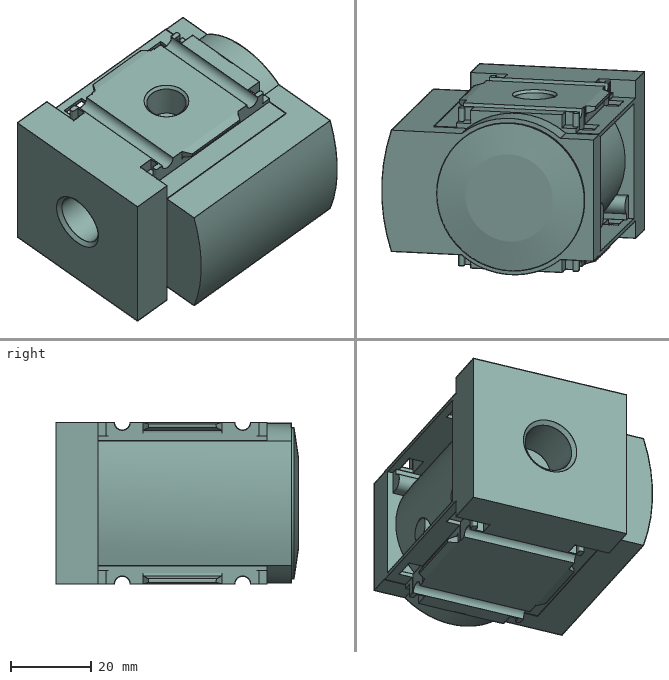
import cadquery as cq


width = 42.05
height = 40.2
front_block_end = 10.45
body_end = 52.55
back_plate_end = 58.6
body_height = 31.3
plate_height = 30.9
back_boss_radius = 19.95
middle_y = (front_block_end + body_end) / 2
body_length = body_end - front_block_end

platform_width = 30.45
groove_radius = 1.95
groove_offset = 15.0
corner_notch_width = 3.55
corner_notch_length = 3.75
corner_notch_depth = 3.4
tongue_width = 1.3
tongue_length = 1.75
tongue_fillet = 0.5

tab_reach = 2.1
tab_root_length = 19.7
tab_tip_length = 16.8
tab_lip_inset = 0.1
tab_root_bulge = 0.2
tab_tip_drop = 0.4
tab_face_drop = 0.9
tab_lip_drop = 1.3
tab_bulge_drop = 2.0
tab_root_drop = 2.65

window_length = 38.1
window_height = 29.25
window_depth = 15.0
cylinder_diameter = 37.6
pin_diameter = 6.1
pin_face_x = -18.25
pin_y = 37.45
pin_z = -8.5
lug_radius = 2.2
lug_offset_y = 17.4
lug_offset_z = 10.95
lug_edge_offset = 17.15
lug_face_x = -19.6

slot_length = 6.05
slot_offset = 14.0
slot_inner_x = -15.0
slot_outer_x = -18.85

dome_diameter = 37.6
dome_flat_diameter = 22.2
dome_rim_height = 0.65
dome_height = 1.8

cover_end_x = 33.0
cover_crown = 2.5

front_port = (14.6, 12.7, 11.9, 0.95, 12.7)
top_port = (11.1, 9.8, 9.25, 0.65, 8.9)

signs = (-1, 1)


def box(x_range, y_range, z_range):
    """Box between the given pairs of limits."""
    (x0, x1), (y0, y1), (z0, z1) = x_range, y_range, z_range
    return cq.Workplane("XY").box(x1 - x0, y1 - y0, z1 - z0, centered=False).translate((x0, y0, z0))


def centred(size):
    """Limits of a size centred on zero."""
    return (-size / 2, size / 2)


def cylinder_along_y(diameter, y_start, y_end):
    """Cylinder on the axis X = Z = 0."""
    return cq.Workplane("XZ", origin=(0, y_start, 0)).circle(diameter / 2).extrude(y_start - y_end)


def mirror_to_all_corners(shape):
    """Shape in the +X, +Y, +Z corner of the platforms, repeated in all eight corners."""
    centre = (0, middle_y, 0)
    shape = shape.union(shape.mirror("YZ", centre))
    shape = shape.union(shape.mirror("XZ", centre))
    return shape.union(shape.mirror("XY", centre))


def make_housing():
    front_block = box(centred(width), (0, front_block_end), centred(height))
    body = box(centred(width), (front_block_end, body_end), centred(body_height))
    platforms = box(centred(platform_width), (front_block_end, body_end), centred(height))
    back_plate = box(centred(width), (body_end, back_plate_end), centred(plate_height))
    back_boss = cylinder_along_y(2 * back_boss_radius, body_end, back_plate_end)
    return front_block.union(body).union(platforms).union(back_plate).union(back_boss)


def make_dome():
    profile = [
        (0, back_plate_end),
        (dome_diameter / 2, back_plate_end),
        (dome_diameter / 2, back_plate_end + dome_rim_height),
        (dome_flat_diameter / 2, back_plate_end + dome_height),
        (0, back_plate_end + dome_height),
    ]
    return cq.Workplane("XY").polyline(profile).close().revolve(360, (0, 0, 0), (0, 1, 0))


def make_cover():
    shoulder_x = cover_end_x - cover_crown
    half_height = plate_height / 2
    profile = (
        cq.Workplane("XZ", origin=(0, front_block_end, 0))
        .moveTo(width / 2, -half_height)
        .lineTo(shoulder_x, -half_height)
        .threePointArc((cover_end_x, 0), (shoulder_x, half_height))
        .lineTo(width / 2, half_height)
        .close()
    )
    return profile.extrude(front_block_end - back_plate_end)


def make_tabs():
    """Undercut side tabs, narrowing outwards, on both sides of both platforms."""
    root_x = platform_width / 2
    tip_x = root_x + tab_reach
    top = height / 2
    section = [
        (0, top),
        (root_x, top),
        (tip_x, top - tab_tip_drop),
        (tip_x, top - tab_face_drop),
        (tip_x - tab_lip_inset, top - tab_lip_drop),
        (root_x + tab_root_bulge, top - tab_bulge_drop),
        (root_x, top - tab_root_drop),
        (0, top - tab_root_drop),
    ]
    plan = [
        (0, middle_y - tab_root_length / 2),
        (root_x, middle_y - tab_root_length / 2),
        (tip_x, middle_y - tab_tip_length / 2),
        (tip_x, middle_y + tab_tip_length / 2),
        (root_x, middle_y + tab_root_length / 2),
        (0, middle_y + tab_root_length / 2),
    ]
    bar = cq.Workplane("XZ", origin=(0, front_block_end, 0)).polyline(section).close().extrude(-body_length)
    outline = cq.Workplane("XY").polyline(plan).close().extrude(height)
    return mirror_to_all_corners(bar.intersect(outline))


def make_corner_notches():
    """Notches in the platform corners, each leaving a small rounded tongue standing."""
    edge_x = platform_width / 2
    z_range = (height / 2 - corner_notch_depth, height / 2)
    inner_y = body_end - corner_notch_length
    notch = box((edge_x - corner_notch_width, edge_x), (inner_y, body_end), z_range)
    tongue = box((edge_x - tongue_width, edge_x), (inner_y, inner_y + tongue_length), z_range)
    tongue = tongue.edges("|Z and >Y").fillet(tongue_fillet)
    return mirror_to_all_corners(notch.cut(tongue))


def make_grooves():
    """Half-round grooves across both platforms."""
    centres = [(middle_y + i * groove_offset, j * height / 2) for i in signs for j in signs]
    plane = cq.Workplane("YZ", origin=(-platform_width / 2, 0, 0))
    return plane.pushPoints(centres).circle(groove_radius).extrude(platform_width)


def make_window():
    """Pocket in the -X side, clear of the cylinder and the pins that stand in it."""
    outer_x = -width / 2
    y_range = (middle_y - window_length / 2, middle_y + window_length / 2)
    pocket = box((outer_x, outer_x + window_depth), y_range, centred(window_height))
    pocket = pocket.cut(cylinder_along_y(cylinder_diameter, *y_range))
    pin = cq.Workplane("YZ", origin=(pin_face_x, pin_y, pin_z)).circle(pin_diameter / 2).extrude(window_depth)
    lug = make_corner_lug()
    opposite_lug = lug.rotate((0, middle_y, 0), (1, middle_y, 0), 180)
    return pocket.cut(pin).cut(lug).cut(opposite_lug)


def make_corner_lug():
    """Round-nosed lug filling the upper rear corner of the window."""
    x_range = (lug_face_x, lug_face_x + window_depth)
    centre_y = middle_y + lug_offset_y
    end_y = middle_y + window_length / 2
    nose = cq.Workplane("YZ", origin=(lug_face_x, centre_y, lug_offset_z)).circle(lug_radius).extrude(window_depth)
    foot = box(x_range, (centre_y, end_y), (lug_offset_z - lug_radius, lug_offset_z))
    riser = box(x_range, (middle_y + lug_edge_offset, end_y), (lug_offset_z, window_height / 2))
    return nose.union(foot).union(riser)


def make_shelf_slots():
    slots = cq.Workplane("XY")
    for y_side in signs:
        slot_y = middle_y + y_side * slot_offset
        y_range = (slot_y - slot_length / 2, slot_y + slot_length / 2)
        x_range = (slot_outer_x, slot_inner_x)
        slots = slots.union(box(x_range, y_range, (window_height / 2, height / 2)))
        slots = slots.union(box(x_range, y_range, (-height / 2, -window_height / 2)))
    return slots


def make_port(sizes):
    """Tapered blind bore with a chamfered mouth at Z = 0, going down."""
    mouth_diameter, bore_diameter, end_diameter, chamfer_depth, depth = sizes
    profile = [
        (0, 0),
        (mouth_diameter / 2, 0),
        (bore_diameter / 2, -chamfer_depth),
        (end_diameter / 2, -depth),
        (0, -depth),
    ]
    return cq.Workplane("XZ").polyline(profile).close().revolve(360, (0, 0, 0), (0, 1, 0))


result = make_housing().union(make_cover()).union(make_dome()).union(make_tabs())
result = result.cut(make_window())
result = result.cut(make_shelf_slots())
result = result.cut(make_corner_notches())
result = result.cut(make_grooves())
result = result.cut(make_port(front_port).rotate((0, 0, 0), (1, 0, 0), 90))
result = result.cut(make_port(top_port).translate((0, middle_y, height / 2)))